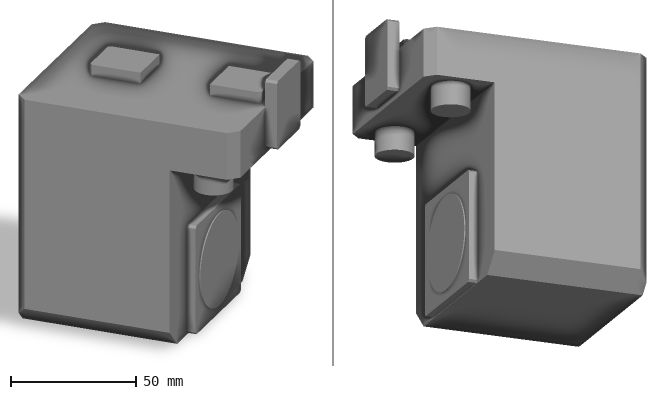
import cadquery as cq

total_length = 101.0
total_height = 111.0
body_width = 84.0
body_length = 95.9
body_height = 99.1
stem_length = 66.9
overhang_underside = 78.8
vertical_chamfer = 4.1
bottom_chamfer = 8.0
small_chamfer = 1.0

pad_width = 20.0
pad_height = 5.0
back_pad_start = 19.0
back_pad_length = 22.1
front_pad_start = 71.0
front_pad_length = 21.9

tab_width = 24.2
tab_bottom = 81.1

peg_diameter = 16.0
peg_length = 10.0
peg_x = 81.0
peg_spacing = 59.9

plate_side = 47.3
plate_bottom = 0.2
plate_thickness = 3.7
disc_diameter = 40.0
disc_thickness = 0.5


def block(x_start, z_start, length, width, height):
    """Box centred on Y with its low X and Z faces at the given places."""
    return (
        cq.Workplane("XY")
        .box(length, width, height, centered=(False, True, False))
        .translate((x_start, 0, z_start))
    )


def make_body():
    stem = block(0, 0, stem_length, body_width, body_height)
    stem = stem.edges("|Z and <X").chamfer(vertical_chamfer)
    envelope = block(0, 0, stem_length, body_width, body_height)
    envelope = envelope.faces("<Z").edges("|X").chamfer(bottom_chamfer)
    head = block(0, overhang_underside, body_length, body_width, body_height - overhang_underside)
    head = head.edges("|Z").chamfer(vertical_chamfer)
    return stem.intersect(envelope).union(head)


def make_pad(x_start, length, outer_side):
    pad = block(x_start, body_height, length, pad_width, pad_height)
    return pad.faces(outer_side).edges("|Z").chamfer(small_chamfer)


def make_tab():
    tab = block(body_length, tab_bottom, total_length - body_length, tab_width, total_height - tab_bottom)
    return tab.edges("|X").chamfer(small_chamfer)


def make_pegs():
    return (
        cq.Workplane("XY", origin=(peg_x, 0, overhang_underside))
        .rarray(1.1, peg_spacing, 1, 2)
        .circle(peg_diameter / 2)
        .extrude(-peg_length)
    )


def make_stem_plate():
    plate = block(stem_length, plate_bottom, plate_thickness, plate_side, plate_side)
    plate = plate.edges("|X").chamfer(small_chamfer)
    return (
        plate.faces(">X")
        .workplane(centerOption="CenterOfMass")
        .circle(disc_diameter / 2)
        .extrude(disc_thickness)
    )


result = (
    make_body()
    .union(make_pad(back_pad_start, back_pad_length, "<X"))
    .union(make_pad(front_pad_start, front_pad_length, ">X"))
    .union(make_tab())
    .union(make_pegs())
    .union(make_stem_plate())
)